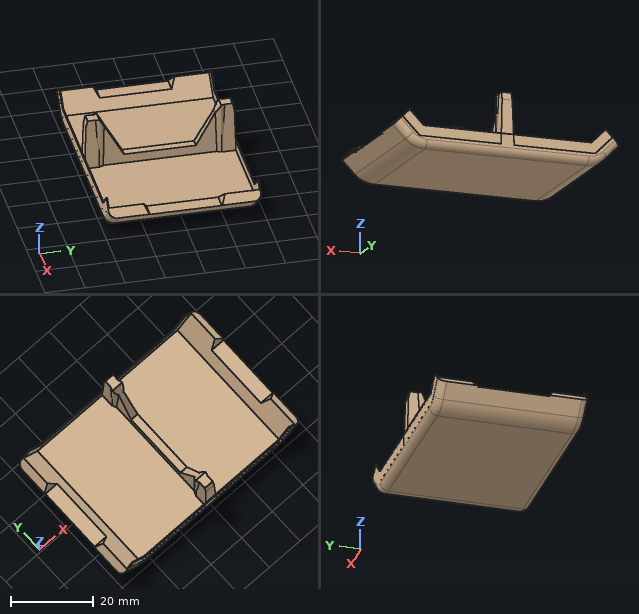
import cadquery as cq
import math

length = 58.55
width = 38.0
tip_height = 5.3
bend_angle = 45.0
floor_thickness = 2.75
bend_radius = 7.0
edge_radius = 1.95
rim_height = 5.4
rim_thickness = 0.25

overall_height = 16.1
web_base = 2.3
web_top = 1.35
post_base = 3.4
post_top = 2.6
post_outer_base = 18.85
post_outer_top = 18.5
post_inner = 15.2
core_diameter = 3.1
bevel_height = 14.15
bevel_top = 18.1

opening_floor = 5.15
opening_half_bottom = 8.95
opening_half_top = 15.15

half_length = length / 2
half_width = width / 2
bend = math.radians(bend_angle)
corner_x = half_length - tip_height / math.tan(bend)


def skin_points(depth):
    """Bend corner and end point of the right half, offset inward from the outer skin."""
    corner = (corner_x - depth * math.tan(bend / 2), depth)
    end = (half_length - depth * math.sin(bend), tip_height + depth * math.cos(bend))
    return corner, end


def bent_plate(thickness, plate_width):
    corner, end = skin_points(thickness)
    points = [
        (-corner_x, 0),
        (corner_x, 0),
        (half_length, tip_height),
        end,
        corner,
        (-corner[0], corner[1]),
        (-end[0], end[1]),
        (-half_length, tip_height),
    ]
    plate = cq.Workplane("XZ").polyline(points).close().extrude(plate_width / 2, both=True)
    return plate.faces("<Z").edges("|Y").fillet(bend_radius)


def tray():
    floor = bent_plate(floor_thickness, width)
    rim = bent_plate(rim_height, width).cut(bent_plate(rim_height, width - 2 * rim_thickness))
    shell = floor.union(rim).clean()
    lower_side_edges = shell.faces("<Z").edges("|X")
    return lower_side_edges.fillet(edge_radius)


def drafted_block(base_width, top_width, inner, outer_base, outer_top):
    """Block standing on the floor whose flanks and outer face lean inward."""
    height = overall_height - floor_thickness
    base = cq.Workplane("XY").workplane(offset=floor_thickness)
    bottom = base.polyline(block_outline(base_width, inner, outer_base)).close()
    top = bottom.workplane(offset=height).polyline(block_outline(top_width, inner, outer_top)).close()
    return top.loft(ruled=True)


def block_outline(block_width, inner, outer):
    half = block_width / 2
    return [(-half, inner), (half, inner), (half, outer), (-half, outer)]


def web():
    return drafted_block(web_base, web_top, -post_inner, post_inner, post_inner)


def post():
    flanks = drafted_block(post_base, post_top, post_inner, post_outer_base, post_outer_top)
    core = (
        cq.Workplane("XY")
        .workplane(offset=floor_thickness)
        .center(0, post_inner)
        .circle(core_diameter / 2)
        .extrude(overall_height - floor_thickness)
    )
    climb = (bevel_height - floor_thickness) / (overall_height - floor_thickness)
    bevel_start = post_outer_base + climb * (post_outer_top - post_outer_base)
    bevel = (
        cq.Workplane("YZ")
        .polyline([
            (bevel_start, bevel_height),
            (bevel_top, overall_height),
            (half_width, overall_height),
            (half_width, bevel_height),
        ])
        .close()
        .extrude(post_base / 2, both=True)
    )
    return flanks.cut(bevel).union(core)


def opening():
    return (
        cq.Workplane("YZ")
        .polyline([
            (-opening_half_bottom, opening_floor),
            (opening_half_bottom, opening_floor),
            (opening_half_top, overall_height),
            (-opening_half_top, overall_height),
        ])
        .close()
        .extrude(half_length, both=True)
    )


back_post = post()
front_post = back_post.mirror("XZ")
result = tray().union(web()).union(back_post).union(front_post).cut(opening())